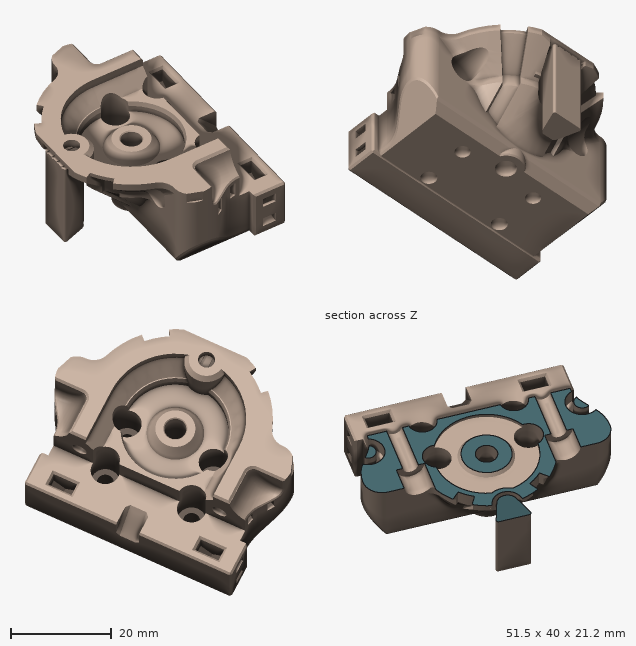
import cadquery as cq
import math

TOP_Z = 21.15
OVER = 0.5

BAR_HALF_X = 22.85
BAR_BACK_Y = 21.75
BAR_FRONT_Y = 14.2
BAR_TOP_Z = 11.0
BAR_EDGE = 0.4
NECK_HALF_X = 21.15

BLOCK_BACK_Y = 11.85
BLOCK_FRONT_Y = -3.95
EAR_HALF_X = 25.75
EAR_RADIUS = -BLOCK_FRONT_Y
EAR_TANGENT_ANGLE = math.radians(34.5)
FLANK_LOW_Y = 5.0
FLANK_HIGH_Y = 7.5

SIDE_SLOPE_FOOT_X = 20.65
SIDE_SLOPE_TOP_Z = 7.25
SIDE_SLOPE_EDGE = 0.35
FRONT_SLOPE_FOOT_Y = -1.75
FRONT_SLOPE_Z = 1.75
FRONT_BREAK_Z = 2.45
FRONT_BREAK_Y = -3.5

FLANGE_RADIUS = 19.35
FLANGE_RIM_Z = 19.55
NECKED_RADIUS = 12.65
BAND_TOP_Z = 13.35
BAND_BOTTOM_Z = 11.65
FLANGE_FLAT_Y = -18.1
FLANGE_FILLET = 3.6
SUPPORT_RUN = 8.75

NOTCH_RADIUS = 17.85
NOTCH_RIM_Z = 20.3
NOTCH_NECKED_RADIUS = 11.75
NOTCH_BAND_Z = 14.6
NOTCH_START = math.radians(29.6)
NOTCH_END = math.radians(46.0)

CAVITY_RADIUS = 14.05
CAVITY_SLOPE = 2.95
LEDGE_Z = 16.2
RECESS_RADIUS = 10.55
RECESS_EDGE = 0.35
RECESS_EDGE_DEPTH = 0.95
FLOOR_Z = 13.85

HUB_BASE_RADIUS = 5.7
HUB_RADIUS = 3.95
HUB_TOP_Z = 16.1
HUB_BORE = 4.4
HUB_BORE_EDGE = 0.2
HUB_FOOT_EDGE = 0.3

HEAD_BORE = 5.8
SCREW_X = 9.55
REAR_SCREW_Y = 12.25
REAR_SCREW_BORE = 3.4
FRONT_SCREW_Y = 2.35
SCREW_BORE = 3.2
HEAD_SEAT_Z = 5.15
SIDE_SCREW_X = 15.45
SIDE_SCREW_Z = 14.75
SIDE_SEAT_Y = 1.2

SCOOP_AXIS_X = 23.7
SCOOP_AXIS_Z = 21.55
SCOOP_RADIUS = 6.0
SCOOP_END_Y = 2.8
SCOOP_FILLET = 1.55
SHOULDER_EDGE = 0.45
SCOOP_RIM_EDGE = 0.25

STRAP_INNER_RADIUS = 1.55
STRAP_OUTER_RADIUS = 3.6
BAR_STRAP_Z = 5.55
BAR_STRAP_Y = 17.8
BAR_STRAP_WIDTH = 3.0
FLANK_STRAP_X = 22.35
FLANK_STRAP_Y = 7.6
FLANK_STRAP_Z = 13.3
FLANK_STRAP_WIDTH = 3.15
FLANK_STRAP_INNER_RADIUS = 1.75
FLANK_STRAP_OUTER_RADIUS = 3.4

WINDOW_XS = (-16.55, 15.9)
WINDOW_Y = 18.5
WINDOW_LENGTH = 5.15
WINDOW_WIDTH = 2.5
WINDOW_EDGE = 0.45
WINDOW_DEPTH = 3.6
WINDOW_VALLEY = 1.55

CHUTE_HALF_X = 2.5
CHUTE_FLOOR_HALF_X = 1.75
CHUTE_END_Y = 16.8
CHUTE_EDGE_RISE = 0.8

EAR_FLAT_Z = 18.95
EAR_FLAT_START = (25.65, 0.25)
EAR_FLAT_END = (24.5, -2.9)

BOSS_Y = -14.15
BOSS_RADIUS = 4.45
BOSS_TOP_RADIUS = 3.5
BOSS_BORE = 3.4
POST_HALF_X = 3.65
POST_FRONT_Y = -18.25
POST_EDGE = 0.45
POST_BACK_RADIUS = 2.2
POST_BACK_AXIS_Y = -13.9
POST_BACK_Y = POST_BACK_AXIS_Y + POST_BACK_RADIUS
POST_CLEARANCE = 0.8
POST_TOP_Z = 19.3
POST_NICK_TOP_Z = 1.65
POST_NICK_Z = 0.8
POST_NICK_Y = -12.55
POST_NICK_FOOT_Y = -12.15
GROOVE_DEPTH = 0.25
GROOVE_WIDTH = 0.5
GROOVE_XS = (-2.7, -0.9, 0.9, 2.7)
MOUTH_HALF_X = 4.85
MOUTH_TOP_Z = 20.3
MOUTH_DEPTH = 1.0


def box(x0, x1, y0, y1, z0, z1):
    return cq.Workplane("XY").box(x1 - x0, y1 - y0, z1 - z0, centered=False).translate((x0, y0, z0))


def cylinder(x, y, z0, z1, radius):
    return cq.Workplane("XY", origin=(x, y, z0)).circle(radius).extrude(z1 - z0)


def cone(x, y, z0, z1, radius0, radius1):
    solid = cq.Solid.makeCone(radius0, radius1, z1 - z0, pnt=cq.Vector(x, y, z0))
    return cq.Workplane("XY").add(solid)


def both_sides(shape):
    return shape.union(shape.mirror("YZ"))


def rear_bar():
    bar = box(-BAR_HALF_X, BAR_HALF_X, BAR_FRONT_Y, BAR_BACK_Y, 0, BAR_TOP_Z)
    bar = bar.faces("<X or >X or >Y").edges().chamfer(BAR_EDGE)
    bar = bar.edges("<Z and <Y").chamfer(BAR_EDGE)
    return bar


def block_half():
    """Right half of the block: ear round, convex curve, straight flank, concave curve to the back."""
    lean = EAR_TANGENT_ANGLE
    convex = FLANK_LOW_Y / math.sin(lean)
    concave = (BLOCK_BACK_Y - FLANK_HIGH_Y) / math.sin(lean)

    def on_convex(angle):
        return EAR_HALF_X - convex * (1 - math.cos(angle)), convex * math.sin(angle)

    def on_concave(angle):
        return NECK_HALF_X + concave * (1 - math.cos(angle)), BLOCK_BACK_Y - concave * math.sin(angle)

    ear_x = EAR_HALF_X - EAR_RADIUS
    ear_mid = EAR_RADIUS * math.sqrt(0.5)
    return (
        cq.Workplane("XY")
        .moveTo(0, BLOCK_FRONT_Y)
        .lineTo(ear_x, BLOCK_FRONT_Y)
        .threePointArc((ear_x + ear_mid, -ear_mid), (EAR_HALF_X, 0))
        .threePointArc(on_convex(lean / 2), on_convex(lean))
        .lineTo(*on_concave(lean))
        .threePointArc(on_concave(lean / 2), (NECK_HALF_X, BLOCK_BACK_Y))
        .lineTo(0, BLOCK_BACK_Y)
        .close()
        .extrude(TOP_Z)
    )


def side_slope():
    slope = (EAR_HALF_X - SIDE_SLOPE_FOOT_X) / SIDE_SLOPE_TOP_Z
    far_x = EAR_HALF_X + OVER
    return (
        cq.Workplane("XZ", origin=(0, BAR_FRONT_Y, 0))
        .moveTo(SIDE_SLOPE_FOOT_X - slope * OVER, -OVER)
        .lineTo(far_x, SIDE_SLOPE_TOP_Z + OVER / slope)
        .lineTo(far_x, -OVER)
        .close()
        .extrude(BAR_FRONT_Y - BLOCK_FRONT_Y + OVER)
    )


def sloped_block_half():
    """Half block and neck with the sloped bottom edge, broken where it meets the side."""
    neck = box(0, NECK_HALF_X, 0, BAR_FRONT_Y, 0, BAR_TOP_Z)
    half = block_half().union(neck).cut(side_slope())
    slope_angle = math.atan2(EAR_HALF_X - SIDE_SLOPE_FOOT_X, SIDE_SLOPE_TOP_Z)
    normal = cq.Vector(math.cos(slope_angle), 0, -math.sin(slope_angle))
    sloped = half.faces(cq.selectors.ParallelDirSelector(normal)).edges("not (<Z or >Y)")
    half = sloped.chamfer(SIDE_SLOPE_EDGE).cut(scoop())
    rim_z = SCOOP_AXIS_Z - SCOOP_RADIUS
    rim = cq.selectors.BoxSelector((NECK_HALF_X - OVER, FLANK_LOW_Y - OVER, rim_z - OVER),
                                   (EAR_HALF_X, BLOCK_BACK_Y - OVER, rim_z + SCOOP_FILLET))
    return half.edges(rim).chamfer(SCOOP_RIM_EDGE)


def front_slope():
    return (
        cq.Workplane("YZ", origin=(-EAR_HALF_X, 0, 0))
        .moveTo(FRONT_SLOPE_FOOT_Y, 0)
        .lineTo(FRONT_BREAK_Y, FRONT_SLOPE_Z)
        .lineTo(BLOCK_FRONT_Y, FRONT_BREAK_Z)
        .lineTo(BLOCK_FRONT_Y - OVER, FRONT_BREAK_Z)
        .lineTo(BLOCK_FRONT_Y - OVER, 0)
        .close()
        .extrude(2 * EAR_HALF_X)
    )


def flange_outline(radius, z):
    """Disc front with a concave fillet each side where it runs into the front of the block."""
    centre_y = BLOCK_FRONT_Y - FLANGE_FILLET
    centre_x = math.sqrt((radius + FLANGE_FILLET) ** 2 - centre_y ** 2)
    shrink = radius / (radius + FLANGE_FILLET)
    touch_x, touch_y = centre_x * shrink, centre_y * shrink
    half_sweep = math.atan2(touch_y - centre_y, touch_x - centre_x) / 2 + math.pi / 4
    mid_x = centre_x + FLANGE_FILLET * math.cos(half_sweep)
    mid_y = centre_y + FLANGE_FILLET * math.sin(half_sweep)
    return (
        cq.Workplane("XY", origin=(0, 0, z))
        .moveTo(-centre_x, BLOCK_FRONT_Y)
        .threePointArc((-mid_x, mid_y), (-touch_x, touch_y))
        .threePointArc((0, -radius), (touch_x, touch_y))
        .threePointArc((mid_x, mid_y), (centre_x, BLOCK_FRONT_Y))
        .lineTo(centre_x, 0)
        .lineTo(-centre_x, 0)
        .close()
    )


def slanted_support(outline):
    wire = outline.wires().vals()[0]
    run = cq.Vector(0, SUPPORT_RUN, -SUPPORT_RUN)
    return cq.Workplane("XY").add(cq.Solid.extrudeLinear(wire, [], run))


def notch_sector(z0, z1):
    reach = 2 * FLANGE_RADIUS
    return (
        cq.Workplane("XY", origin=(0, 0, z0))
        .lineTo(reach * math.sin(NOTCH_START), -reach * math.cos(NOTCH_START))
        .lineTo(reach * math.sin(NOTCH_END), -reach * math.cos(NOTCH_END))
        .close()
        .extrude(z1 - z0)
    )


def notch_core():
    """Material that stays behind the notches: rim, cone and upright band."""
    rim = cylinder(0, 0, NOTCH_RIM_Z, TOP_Z, NOTCH_RADIUS)
    taper = cone(0, 0, NOTCH_BAND_Z, NOTCH_RIM_Z, NOTCH_NECKED_RADIUS, NOTCH_RADIUS)
    band = cylinder(0, 0, BAND_BOTTOM_Z, NOTCH_BAND_Z, NOTCH_NECKED_RADIUS)
    return rim.union(taper).union(band)


def flange():
    rim = flange_outline(FLANGE_RADIUS, FLANGE_RIM_Z).extrude(TOP_Z - FLANGE_RIM_Z)
    wires = [
        flange_outline(NECKED_RADIUS, BAND_TOP_Z).wires().vals()[0],
        flange_outline(FLANGE_RADIUS, FLANGE_RIM_Z).wires().vals()[0],
    ]
    taper = cq.Workplane("XY").add(cq.Solid.makeLoft(wires, True))
    band = flange_outline(NECKED_RADIUS, BAND_BOTTOM_Z).extrude(BAND_TOP_Z - BAND_BOTTOM_Z)
    upper = rim.union(taper).union(band)
    upper = upper.cut(both_sides(notch_sector(BAND_BOTTOM_Z, TOP_Z).cut(notch_core())))
    front = box(-FLANGE_RADIUS, FLANGE_RADIUS, -2 * FLANGE_RADIUS, FLANGE_FLAT_Y, 0, TOP_Z)
    upper = upper.cut(front)
    support = slanted_support(upper.faces("<Z"))
    return upper.union(support)


def cavity():
    """Stadium cavity, upright above and tapering at 45 degrees to the ledge, open at the back."""
    def stadium(radius, z):
        return (
            cq.Workplane("XY", origin=(0, 0, z))
            .moveTo(radius, BLOCK_BACK_Y + OVER)
            .lineTo(radius, 0)
            .threePointArc((0, -radius), (-radius, 0))
            .lineTo(-radius, BLOCK_BACK_Y + OVER)
            .close()
        )

    slope_top = LEDGE_Z + CAVITY_SLOPE
    upright = stadium(CAVITY_RADIUS, slope_top).extrude(TOP_Z - slope_top)
    wires = [
        stadium(CAVITY_RADIUS - CAVITY_SLOPE, LEDGE_Z).wires().vals()[0],
        stadium(CAVITY_RADIUS, slope_top).wires().vals()[0],
    ]
    taper = cq.Workplane("XY").add(cq.Solid.makeLoft(wires, True))
    recess = cylinder(0, 0, FLOOR_Z, LEDGE_Z, RECESS_RADIUS)
    edge = cone(0, 0, LEDGE_Z - RECESS_EDGE_DEPTH, LEDGE_Z, RECESS_RADIUS, RECESS_RADIUS + RECESS_EDGE)
    return upright.union(taper).union(recess).union(edge)


def hub():
    foot = cylinder(0, 0, 0, FLOOR_Z, HUB_RADIUS).faces("<Z").chamfer(HUB_FOOT_EDGE)
    return foot.union(cone(0, 0, FLOOR_Z, HUB_TOP_Z, HUB_BASE_RADIUS, HUB_RADIUS))


def hub_bore():
    radius = HUB_BORE / 2
    bore = cylinder(0, 0, 0, HUB_TOP_Z, radius)
    return bore.union(cone(0, 0, HUB_TOP_Z - HUB_BORE_EDGE, HUB_TOP_Z, radius, radius + HUB_BORE_EDGE))


def upright_screw(y, bore):
    head = cylinder(SCREW_X, y, HEAD_SEAT_Z, TOP_Z, HEAD_BORE / 2)
    return both_sides(head.union(cylinder(SCREW_X, y, 0, HEAD_SEAT_Z, bore / 2)))


def side_screw():
    start = cq.Workplane("XZ", origin=(SIDE_SCREW_X, BLOCK_BACK_Y, SIDE_SCREW_Z))
    bore = start.circle(SCREW_BORE / 2).extrude(BLOCK_BACK_Y - FLANGE_FLAT_Y)
    seat = cq.Workplane("XZ", origin=(SIDE_SCREW_X, SIDE_SEAT_Y, SIDE_SCREW_Z))
    head = seat.circle(HEAD_BORE / 2).extrude(SIDE_SEAT_Y - FLANGE_FLAT_Y)
    return both_sides(bore.union(head))


def scoop():
    """Trough along Y that hollows the outer shoulder, with a rounded front end and broken top edge."""
    wall_x = SCOOP_AXIS_X - SCOOP_RADIUS
    far_x = SCOOP_AXIS_X + SCOOP_RADIUS
    floor_z = SCOOP_AXIS_Z - SCOOP_RADIUS
    slant = SCOOP_RADIUS * math.sqrt(0.5)
    trough = (
        cq.Workplane("XZ", origin=(0, BLOCK_BACK_Y + OVER, 0))
        .moveTo(wall_x, SCOOP_AXIS_Z)
        .threePointArc((SCOOP_AXIS_X - slant, SCOOP_AXIS_Z - slant), (SCOOP_AXIS_X, floor_z))
        .lineTo(far_x, floor_z)
        .lineTo(far_x, SCOOP_AXIS_Z)
        .close()
        .extrude(BLOCK_BACK_Y + OVER - SCOOP_END_Y)
    )
    trough = trough.faces("<Y").edges("(not >Z) and (not >X)").fillet(SCOOP_FILLET)
    lip = (
        box(
            wall_x - SHOULDER_EDGE, far_x, SCOOP_END_Y - SHOULDER_EDGE, BLOCK_BACK_Y + 2 * OVER,
            TOP_Z - SHOULDER_EDGE, TOP_Z + OVER,
        )
        .edges("|Z and <X and <Y").fillet(SCOOP_FILLET + SHOULDER_EDGE)
        .faces("<Z").edges("<X or <Y").chamfer(SHOULDER_EDGE)
    )
    return trough.union(lip)


def shoulder_edge():
    return (
        cq.Workplane("YZ", origin=(-EAR_HALF_X, 0, 0))
        .moveTo(BLOCK_BACK_Y - SHOULDER_EDGE, TOP_Z)
        .lineTo(BLOCK_BACK_Y, TOP_Z - SHOULDER_EDGE)
        .lineTo(BLOCK_BACK_Y, TOP_Z)
        .close()
        .extrude(2 * EAR_HALF_X)
    )


def strap_ring(plane, inner, outer, width):
    return cq.Workplane(plane).circle(outer).circle(inner).extrude(width / 2, both=True)


def strap_channels():
    bar_ring = strap_ring("XZ", STRAP_INNER_RADIUS, STRAP_OUTER_RADIUS, BAR_STRAP_WIDTH)
    flank_ring = strap_ring("XY", FLANK_STRAP_INNER_RADIUS, FLANK_STRAP_OUTER_RADIUS, FLANK_STRAP_WIDTH)
    bar_ring = bar_ring.translate((BAR_HALF_X, BAR_STRAP_Y, BAR_STRAP_Z))
    flank_ring = flank_ring.translate((FLANK_STRAP_X, FLANK_STRAP_Y, FLANK_STRAP_Z))
    return both_sides(bar_ring.union(flank_ring))


def bar_windows():
    """Pocket with a broken rim and a shallow valley floor, one towards each end of the bar."""
    half = WINDOW_LENGTH / 2
    floor_z = BAR_TOP_Z - WINDOW_DEPTH
    pocket = (
        cq.Workplane("XZ", origin=(0, WINDOW_WIDTH / 2, 0))
        .moveTo(-half, BAR_TOP_Z)
        .lineTo(-half, floor_z)
        .lineTo(0, floor_z - WINDOW_VALLEY)
        .lineTo(half, floor_z)
        .lineTo(half, BAR_TOP_Z)
        .close()
        .extrude(WINDOW_WIDTH)
    )
    rim = (
        cq.Workplane("XY", origin=(0, 0, BAR_TOP_Z))
        .rect(WINDOW_LENGTH + 2 * WINDOW_EDGE, WINDOW_WIDTH + 2 * WINDOW_EDGE)
        .extrude(-WINDOW_EDGE, taper=45)
    )
    left, right = [pocket.union(rim).translate((x, WINDOW_Y, 0)) for x in WINDOW_XS]
    return left.union(right)


def chute():
    """Channel with a bevelled floor that drops at 45 degrees towards the back of the bar."""
    drop = BAR_BACK_Y + OVER - CHUTE_END_Y
    head = drop + OVER
    profile = (
        cq.Workplane("XZ", origin=(0, CHUTE_END_Y, BAR_TOP_Z))
        .moveTo(-CHUTE_FLOOR_HALF_X, 0)
        .lineTo(CHUTE_FLOOR_HALF_X, 0)
        .lineTo(CHUTE_HALF_X, CHUTE_EDGE_RISE)
        .lineTo(CHUTE_HALF_X, head)
        .lineTo(-CHUTE_HALF_X, head)
        .lineTo(-CHUTE_HALF_X, CHUTE_EDGE_RISE)
        .close()
    )
    wire = profile.wires().vals()[0]
    return cq.Workplane("XY").add(cq.Solid.extrudeLinear(wire, [], cq.Vector(0, drop, -drop)))


def ear_flats():
    (start_x, start_y), (end_x, end_y) = EAR_FLAT_START, EAR_FLAT_END
    flat = (
        cq.Workplane("XY", origin=(0, 0, EAR_FLAT_Z))
        .moveTo(start_x, start_y)
        .lineTo(end_x, end_y)
        .lineTo(EAR_HALF_X + OVER, end_y)
        .lineTo(EAR_HALF_X + OVER, start_y)
        .close()
        .extrude(TOP_Z - EAR_FLAT_Z)
    )
    return both_sides(flat)


def post_boss():
    shoulder_z = TOP_Z - (BOSS_RADIUS - BOSS_TOP_RADIUS)
    boss = cylinder(0, BOSS_Y, FLOOR_Z, shoulder_z, BOSS_RADIUS)
    boss = boss.union(cone(0, BOSS_Y, shoulder_z, TOP_Z, BOSS_RADIUS, BOSS_TOP_RADIUS))
    return boss.intersect(cylinder(0, 0, FLOOR_Z, TOP_Z, CAVITY_RADIUS))


def post_mouth():
    """Bevelled opening in the flange front, flaring around the top of the post."""
    return (
        cq.Workplane("XZ", origin=(0, FLANGE_FLAT_Y, 0))
        .moveTo(-MOUTH_HALF_X, BAND_TOP_Z)
        .lineTo(MOUTH_HALF_X, BAND_TOP_Z)
        .lineTo(MOUTH_HALF_X, MOUTH_TOP_Z)
        .lineTo(-MOUTH_HALF_X, MOUTH_TOP_Z)
        .close()
        .workplane(offset=-MOUTH_DEPTH)
        .moveTo(-POST_HALF_X, BAND_TOP_Z)
        .lineTo(POST_HALF_X, BAND_TOP_Z)
        .lineTo(POST_HALF_X, POST_TOP_Z)
        .lineTo(-POST_HALF_X, POST_TOP_Z)
        .close()
        .loft(ruled=True)
    )


def post_form(clearance):
    """Upright of teardrop section: a flat front with round corners, narrowing to a round back."""
    edge = POST_EDGE + clearance
    half_x = POST_HALF_X + clearance
    corner_x = half_x - edge
    corner_y = POST_FRONT_Y - clearance + edge
    back = POST_BACK_RADIUS + clearance
    span = math.hypot(corner_x, POST_BACK_AXIS_Y - corner_y)
    lean = math.asin((edge - back) / span) + math.atan2(corner_x, POST_BACK_AXIS_Y - corner_y)
    side_x, side_y = math.cos(lean), math.sin(lean)
    front_x, front_y = math.cos(lean / 2 - math.pi / 4), math.sin(lean / 2 - math.pi / 4)
    back_point = (back * side_x, POST_BACK_AXIS_Y + back * side_y)
    return (
        cq.Workplane("XY")
        .moveTo(-corner_x, corner_y - edge)
        .lineTo(corner_x, corner_y - edge)
        .threePointArc((corner_x + edge * front_x, corner_y + edge * front_y),
                       (corner_x + edge * side_x, corner_y + edge * side_y))
        .lineTo(*back_point)
        .threePointArc((0, POST_BACK_AXIS_Y + back), (-back_point[0], back_point[1]))
        .lineTo(-corner_x - edge * side_x, corner_y + edge * side_y)
        .threePointArc((-corner_x - edge * front_x, corner_y + edge * front_y), (-corner_x, corner_y - edge))
        .close()
        .extrude(POST_TOP_Z)
    )


def make_housing():
    block = both_sides(sloped_block_half()).cut(front_slope())
    body = block.union(rear_bar()).union(flange())
    body = body.cut(cavity()).union(hub()).union(post_boss())
    body = body.cut(hub_bore())
    body = body.cut(upright_screw(REAR_SCREW_Y, REAR_SCREW_BORE))
    body = body.cut(upright_screw(FRONT_SCREW_Y, SCREW_BORE))
    body = body.cut(side_screw())
    body = body.cut(shoulder_edge())
    body = body.cut(strap_channels()).cut(bar_windows()).cut(chute()).cut(ear_flats())
    boss_bore = cylinder(0, BOSS_Y, POST_TOP_Z, TOP_Z, BOSS_BORE / 2)
    return body.cut(boss_bore).cut(post_mouth()).cut(post_form(POST_CLEARANCE))


def post_nick():
    """Shallow vee across the back of the post at its foot."""
    return (
        cq.Workplane("YZ", origin=(-POST_HALF_X, 0, 0))
        .moveTo(POST_BACK_Y, POST_NICK_TOP_Z)
        .lineTo(POST_NICK_Y, POST_NICK_Z)
        .lineTo(POST_NICK_FOOT_Y, 0)
        .lineTo(POST_BACK_Y, 0)
        .close()
        .extrude(2 * POST_HALF_X)
    )


def make_post():
    post = post_form(0).cut(post_nick())
    for x in GROOVE_XS:
        groove = box(
            x - GROOVE_WIDTH / 2, x + GROOVE_WIDTH / 2, POST_FRONT_Y, POST_BACK_Y,
            POST_TOP_Z - GROOVE_DEPTH, POST_TOP_Z,
        )
        post = post.cut(groove)
    return post


housing = make_housing()
post = make_post()
result = cq.Compound.makeCompound([*housing.vals(), *post.vals()])